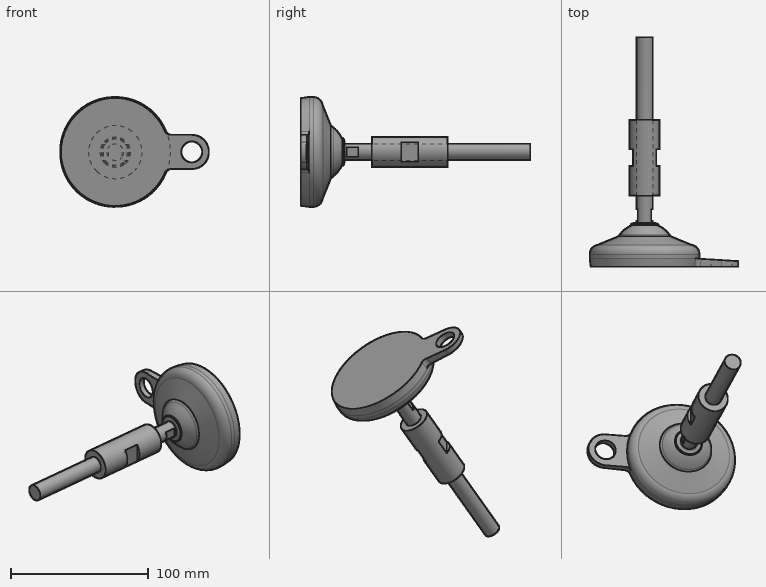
import cadquery as cq


foot_radius = 40.0
underside_radius = 39.1
side_taper_top = 6.2
rim_top = 9.2
shoulder_radius, shoulder_y = 34.0, 16.0
shoulder_mid_radius, shoulder_mid_y = 38.5, 13.3
cone_top_radius, cone_top_y = 19.3, 22.0
dome_base_radius, dome_base_y = 18.0, 23.5
dome_mid_radius, dome_mid_y = 14.3, 27.3
dome_top_radius, dome_top_y = 9.5, 30.1
lip_radius, lip_y = 10.2, 30.6
lip_top_radius, lip_top_y = 9.5, 31.3
foot_top_radius, foot_top_y = 7.0, 32.0

tab_width = 25.0
tab_reach = 68.1
tab_hole_diameter = 15.0
tab_slope_start = 36.1
tab_tip_height = 4.2
tab_fillet = 4.2
tab_end_radius = tab_width / 2
tab_hole_x = tab_reach - tab_end_radius

overall_length = 166.5
rod_radius = 6.0
rod_flats_width = 10.0
rod_flats_start = 33.3
rod_flats_length = 8.3

sleeve_radius = 11.0
sleeve_start = 51.6
sleeve_length = 55.0
sleeve_flats_width = 17.0
sleeve_flats_length = 12.0
sleeve_flats_start = sleeve_start + (sleeve_length - sleeve_flats_length) / 2


def cylinder(radius, start, length):
    """Cylinder along +Y that begins at Y = start."""
    disc = cq.Workplane("XZ", origin=(0, start, 0)).circle(radius)
    return disc.extrude(-length)


def cut_flats(body, radius, width, start, length):
    """Mill two opposite wrench flats, square to X, into a round body."""
    band = cylinder(2 * radius, start, length)
    kept_core = cq.Workplane("XY").box(width, length, 4 * radius)
    kept_core = kept_core.translate((0, start + length / 2, 0))
    return body.cut(band.cut(kept_core))


def make_tab():
    """Tab blended into the tapered lower band, with an upper face that slopes down to the tip."""
    band = (
        cq.Workplane("XY")
        .lineTo(underside_radius, 0)
        .lineTo(foot_radius, side_taper_top)
        .lineTo(0, side_taper_top)
        .close()
        .revolve(360, (0, 0, 0), (0, 1, 0))
    )
    tongue = (
        cq.Workplane("XZ")
        .moveTo(0, -tab_end_radius)
        .lineTo(tab_hole_x, -tab_end_radius)
        .threePointArc((tab_reach, 0), (tab_hole_x, tab_end_radius))
        .lineTo(0, tab_end_radius)
        .close()
        .extrude(-side_taper_top)
    )
    corners = cq.selectors.BoxSelector(
        (tab_slope_start, 0, -foot_radius), (foot_radius, side_taper_top, foot_radius)
    )
    blended = band.union(tongue).edges(corners).fillet(tab_fillet)
    slope_waste = (
        cq.Workplane("XY")
        .moveTo(tab_slope_start, side_taper_top)
        .lineTo(tab_reach, tab_tip_height)
        .lineTo(tab_reach, side_taper_top)
        .close()
        .extrude(foot_radius, both=True)
    )
    hole = cylinder(tab_hole_diameter / 2, 0, side_taper_top).translate((tab_hole_x, 0, 0))
    return blended.cut(slope_waste).cut(hole)


def make_foot():
    shell = (
        cq.Workplane("XY")
        .moveTo(0, 0)
        .lineTo(underside_radius, 0)
        .lineTo(foot_radius, side_taper_top)
        .lineTo(foot_radius, rim_top)
        .threePointArc((shoulder_mid_radius, shoulder_mid_y), (shoulder_radius, shoulder_y))
        .lineTo(cone_top_radius, cone_top_y)
        .lineTo(dome_base_radius, dome_base_y)
        .threePointArc((dome_mid_radius, dome_mid_y), (dome_top_radius, dome_top_y))
        .lineTo(lip_radius, lip_y)
        .lineTo(lip_top_radius, lip_top_y)
        .lineTo(foot_top_radius, foot_top_y)
        .lineTo(0, foot_top_y)
        .close()
        .revolve(360, (0, 0, 0), (0, 1, 0))
    )
    return shell.union(make_tab())


def make_spindle():
    rod = cylinder(rod_radius, foot_top_y, overall_length - foot_top_y)
    return cut_flats(rod, rod_radius, rod_flats_width, rod_flats_start, rod_flats_length)


def make_sleeve():
    sleeve = cylinder(sleeve_radius, sleeve_start, sleeve_length)
    sleeve = cut_flats(sleeve, sleeve_radius, sleeve_flats_width, sleeve_flats_start, sleeve_flats_length)
    return sleeve.cut(cylinder(rod_radius, sleeve_start, sleeve_length))


foot = make_foot()
spindle = make_spindle()
sleeve = make_sleeve()

result = cq.Compound.makeCompound([foot.val(), spindle.val(), sleeve.val()])